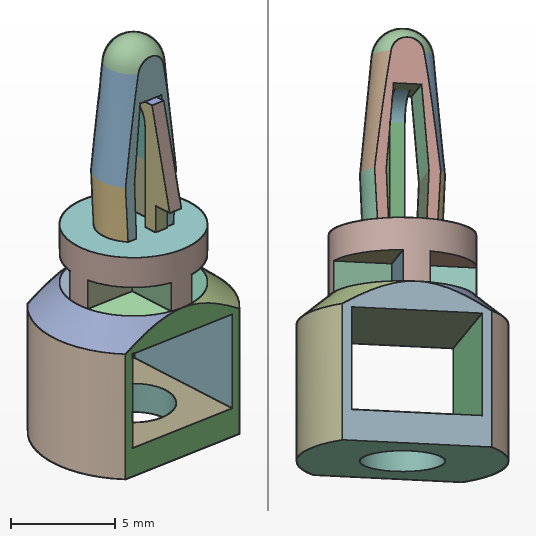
import cadquery as cq

base_diameter = 10.15
base_width = 7.1
shoulder_start = 6.73
shoulder_top = 8.0
floor_thickness = 1.53
window_width = 6.35
window_top = 6.58
floor_hole_diameter = 4.1

collar_diameter = base_width
collar_bottom = 9.55
collar_top = 11.15
rib_thickness = 1.32

pin_width = 2.51
pin_root_radius = 1.92
pin_bulge_radius = 2.05
pin_tip_radius = 1.5
bulge_height = 14.1
dome_base = 19.94
total_height = 21.3
dome_radius = (pin_tip_radius**2 + (total_height - dome_base)**2) / (2 * (total_height - dome_base))
dome_center = total_height - dome_radius
dome_mid_radius = dome_radius / 2**0.5

slot_top = 18.32
slot_root_half = 0.92
slot_bulge_half = 1.05
slot_top_half = 0.68

barb_thickness = 0.75
barb_bottom = 11.59
barb_ledge = 13.01
barb_inner_x = pin_width / 2
barb_stem_x = 2.02
barb_point_x = 3.05
barb_top_x = 1.77
barb_fillet = 1.3


def make_base():
    half_width = base_diameter / 2
    body = (
        cq.Workplane("XZ")
        .polyline([
            (0, 0),
            (half_width, 0),
            (half_width, shoulder_start),
            (collar_diameter / 2, shoulder_top),
            (0, shoulder_top),
        ])
        .close()
        .revolve(360, (0, 0), (0, 1))
    )
    flats = cq.Workplane("XY").box(base_width, base_diameter, shoulder_top, centered=(True, True, False))
    window = (
        cq.Workplane("XY", origin=(0, 0, floor_thickness))
        .box(base_width, window_width, window_top - floor_thickness, centered=(True, True, False))
    )
    floor_hole = cq.Workplane("XY").circle(floor_hole_diameter / 2).extrude(floor_thickness)
    return body.intersect(flats).cut(window).cut(floor_hole)


def make_neck_and_collar():
    neck_height = collar_bottom - shoulder_top
    neck_plane = cq.Workplane("XY", origin=(0, 0, shoulder_top))
    cross = (
        neck_plane.rect(collar_diameter, rib_thickness).extrude(neck_height)
        .union(neck_plane.rect(rib_thickness, collar_diameter).extrude(neck_height))
    )
    neck = neck_plane.circle(collar_diameter / 2).extrude(neck_height).intersect(cross)
    collar = (
        cq.Workplane("XY", origin=(0, 0, collar_bottom))
        .circle(collar_diameter / 2)
        .extrude(collar_top - collar_bottom)
    )
    return neck.union(collar)


def make_pin():
    pin = (
        cq.Workplane("XZ")
        .moveTo(0, collar_top)
        .lineTo(pin_root_radius, collar_top)
        .lineTo(pin_bulge_radius, bulge_height)
        .lineTo(pin_tip_radius, dome_base)
        .threePointArc((dome_mid_radius, dome_center + dome_mid_radius), (0, total_height))
        .close()
        .revolve(360, (0, 0), (0, 1))
    )
    flats = (
        cq.Workplane("XY", origin=(0, 0, collar_top))
        .box(pin_width, 2 * pin_bulge_radius, total_height - collar_top, centered=(True, True, False))
    )
    slot = (
        cq.Workplane("YZ")
        .polyline([
            (-slot_root_half, collar_top),
            (slot_root_half, collar_top),
            (slot_bulge_half, bulge_height),
            (slot_top_half, slot_top),
            (-slot_top_half, slot_top),
            (-slot_bulge_half, bulge_height),
        ])
        .close()
        .extrude(pin_width / 2, both=True)
    )
    return pin.intersect(flats).cut(slot)


def make_barb():
    arc_drop = barb_fillet * (1 - 0.5**0.5)
    return (
        cq.Workplane("XZ")
        .moveTo(barb_inner_x - barb_fillet, slot_top)
        .lineTo(barb_top_x, slot_top)
        .lineTo(barb_point_x, barb_ledge)
        .lineTo(barb_stem_x, barb_ledge)
        .lineTo(barb_stem_x, barb_bottom)
        .lineTo(barb_inner_x, barb_bottom)
        .lineTo(barb_inner_x, slot_top - barb_fillet)
        .threePointArc(
            (barb_inner_x - arc_drop, slot_top - arc_drop),
            (barb_inner_x - barb_fillet, slot_top),
        )
        .close()
        .extrude(barb_thickness / 2, both=True)
    )


result = make_base().union(make_neck_and_collar()).union(make_pin()).union(make_barb())